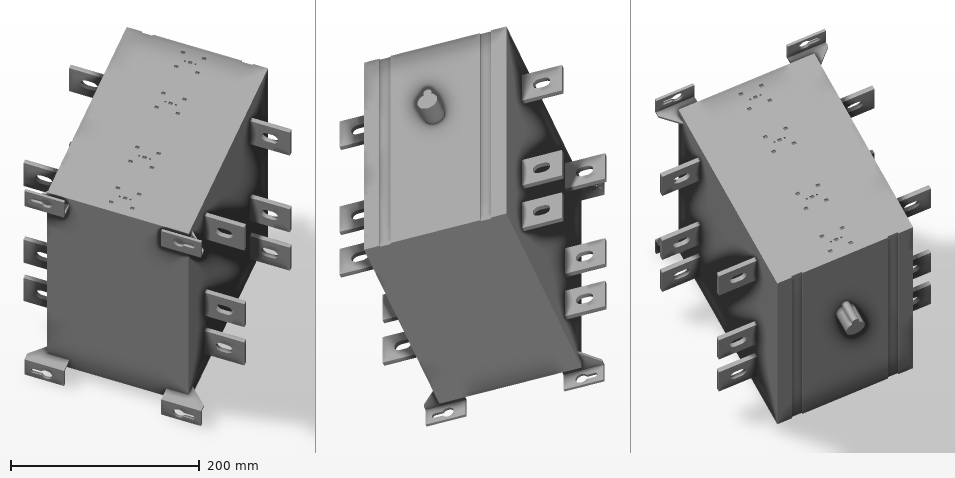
import cadquery as cq


overall_depth = 281.0
overall_height = 311.0

body_width = 160.0
body_depth = 240.0
body_height = 286.25
body_front = 16.0
body_back = body_front + body_depth
body_top = body_height / 2
body_mid_y = body_front + body_depth / 2

groove_width = 12.5
groove_depth = 1.5
groove_offset = 56.5

bar_length = 250.0
bar_thickness = 5.0
bar_height = 39.0
pole_pitch = 65.0
bar_levels = (1.5 * pole_pitch, -0.5 * pole_pitch, -1.5 * pole_pitch)
bar_rows = (66.75, 204.25)
bar_slot_length = 19.5
bar_slot_width = 13.5
bar_slot_offset = 102.0

foot_outer_x = 100.0
foot_width = 45.0
foot_flange_height = 25.5
foot_thickness = 3.0
foot_corner_y = 8.5
keyhole_diameter = 13.0
keyhole_offset_x = 75.0
keyhole_edge_distance = 10.5
keyhole_slot_width = 6.5
keyhole_slot_end_x = 93.0

shaft_radius = 11.0
shaft_length = overall_depth - body_back
shaft_z = 32.0
rib_radius = 4.5
rib_offset = 13.0

recess_depth = 2.0
outer_group_offset = 98.25
inner_group_offset = 39.25
group_offsets = (-outer_group_offset, -inner_group_offset, inner_group_offset, outer_group_offset)
corner_recess_length = 4.5
corner_recess_width = 3.5
corner_recess_x = 12.0
corner_recess_y = 10.2
middle_recess_length = 4.5
middle_recess_width = 3.5
side_recess_length = 2.0
side_recess_width = 2.0
side_recess_x = 6.0


def box(length_x, length_y, length_z, center):
    return cq.Workplane("XY").box(length_x, length_y, length_z).translate(center)


def make_body():
    body = box(body_width, body_depth, body_height, (0, body_mid_y, 0))
    for side in (-1, 1):
        groove_center = (side * groove_offset, body_back, 0)
        body = body.cut(box(groove_width, 2 * groove_depth, body_height, groove_center))
    return body


def make_bar(y, z):
    bar = box(bar_length, bar_thickness, bar_height, (0, y, z))
    slots = (
        cq.Workplane("XZ", origin=(0, y, z))
        .pushPoints([(-bar_slot_offset, 0), (bar_slot_offset, 0)])
        .slot2D(bar_slot_length, bar_slot_width)
        .extrude(bar_thickness, both=True)
    )
    return bar.cut(slots)


def make_foot():
    """Foot at the upper corner on the +X side; its web has a 45-degree corner and enters the body."""
    foot_top = overall_height / 2
    foot_bottom = foot_top - foot_flange_height
    foot_inner_x = foot_outer_x - foot_width
    foot_mid_x = foot_outer_x - foot_width / 2
    flange = box(
        foot_width,
        foot_thickness,
        foot_flange_height,
        (foot_mid_x, foot_thickness / 2, foot_top - foot_flange_height / 2),
    )
    body_side = body_width / 2
    chamfer_end_y = foot_corner_y + foot_outer_x - body_side
    web = (
        cq.Workplane("XY", origin=(0, 0, foot_bottom))
        .polyline(
            [
                (foot_inner_x, 0),
                (foot_outer_x, 0),
                (foot_outer_x, foot_corner_y),
                (body_side, chamfer_end_y),
                (foot_inner_x, chamfer_end_y),
            ]
        )
        .close()
        .extrude(foot_thickness)
    )
    keyhole_z = foot_top - keyhole_edge_distance
    round_hole = (
        cq.Workplane("XZ", origin=(keyhole_offset_x, 0, keyhole_z))
        .circle(keyhole_diameter / 2)
        .extrude(-foot_thickness)
    )
    slot_length = keyhole_slot_end_x - keyhole_offset_x + keyhole_slot_width / 2
    slot_mid_x = keyhole_slot_end_x - slot_length / 2
    slot = (
        cq.Workplane("XZ", origin=(slot_mid_x, 0, keyhole_z))
        .slot2D(slot_length, keyhole_slot_width)
        .extrude(-foot_thickness)
    )
    return flange.cut(round_hole).cut(slot).union(web)


def make_feet():
    upper_right = make_foot()
    upper_pair = upper_right.union(upper_right.mirror("YZ"))
    return upper_pair.union(upper_pair.mirror("XY"))


def make_shaft():
    base = cq.Workplane("XZ", origin=(0, body_back, shaft_z))
    core = base.circle(shaft_radius).extrude(-shaft_length)
    rib = base.center(0, rib_offset).circle(rib_radius).extrude(-shaft_length)
    return core.union(rib)


def make_recess_group(y):
    recesses = cq.Workplane("XY", origin=(0, y, body_top))
    corners = (
        recesses.rect(2 * corner_recess_x, 2 * corner_recess_y, forConstruction=True)
        .vertices()
        .rect(corner_recess_length, corner_recess_width)
        .extrude(-recess_depth)
    )
    middle = recesses.rect(middle_recess_length, middle_recess_width).extrude(-recess_depth)
    sides = (
        recesses.pushPoints([(-side_recess_x, 0), (side_recess_x, 0)])
        .rect(side_recess_length, side_recess_width)
        .extrude(-recess_depth)
    )
    return corners.union(middle).union(sides)


result = make_body()
for bar_y in bar_rows:
    for bar_z in bar_levels:
        result = result.union(make_bar(bar_y, bar_z))
result = result.union(make_feet()).union(make_shaft())
for group_offset in group_offsets:
    result = result.cut(make_recess_group(body_mid_y + group_offset))